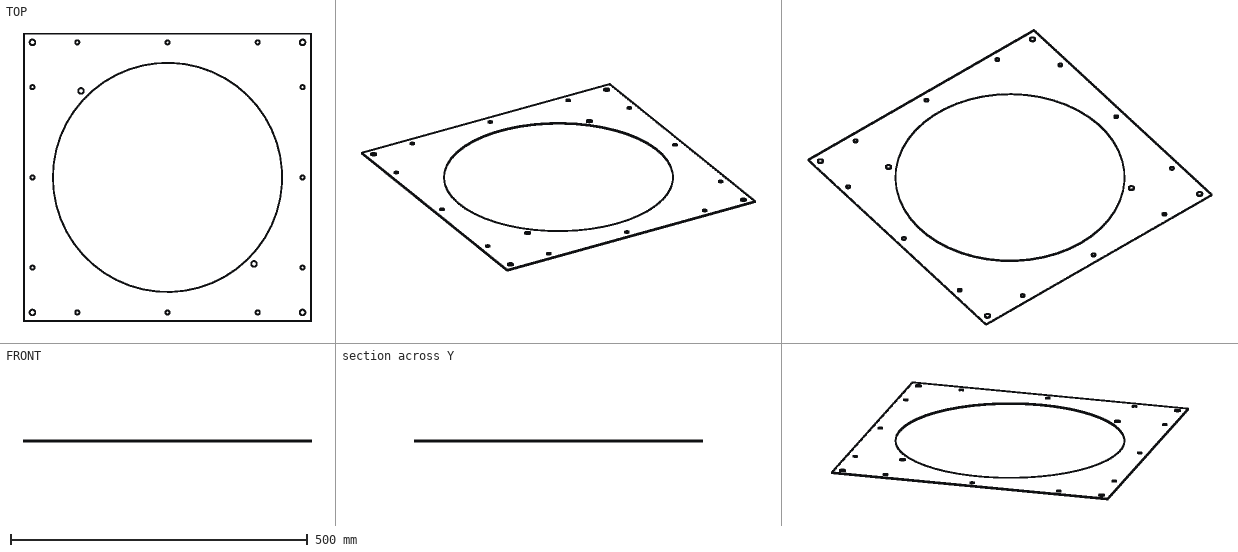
import cadquery as cq

side = 484.0
thickness = 2.0
opening_diameter = 385.7

border_offset = 227.5
edge_hole_spacing = 152.0
edge_hole_diameter = 7.0
large_hole_diameter = 9.0

diagonal_hole_offset = 145.5

corner_points = [
    (x, y)
    for x in (-border_offset, border_offset)
    for y in (-border_offset, border_offset)
]

edge_points = []
for along in (-edge_hole_spacing, 0, edge_hole_spacing):
    for across in (-border_offset, border_offset):
        edge_points.append((along, across))
        edge_points.append((across, along))

diagonal_points = [
    (-diagonal_hole_offset, diagonal_hole_offset),
    (diagonal_hole_offset, -diagonal_hole_offset),
]


def drill(plate, points, diameter):
    """Cut round through holes at the given points of the top face."""
    return plate.faces(">Z").workplane(origin=(0, 0, 0)).pushPoints(points).hole(diameter)


result = cq.Workplane("XY").box(side, side, thickness)
result = drill(result, [(0, 0)], opening_diameter)
result = drill(result, corner_points + diagonal_points, large_hole_diameter)
result = drill(result, edge_points, edge_hole_diameter)